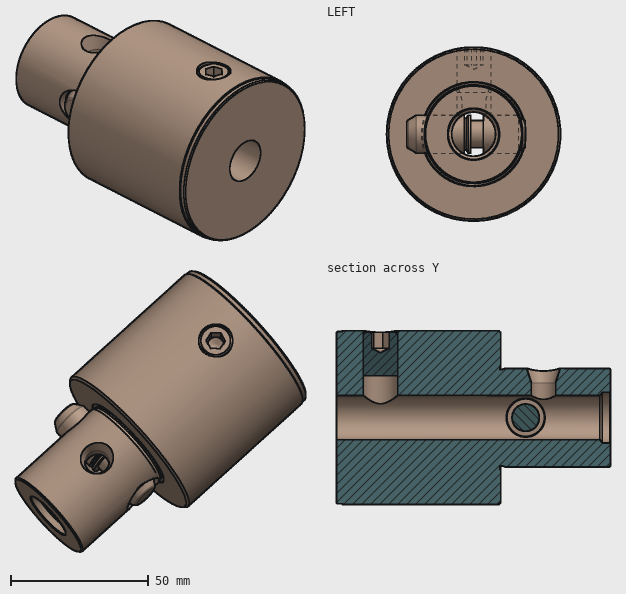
import cadquery as cq
import math

total_length = 100.0
sleeve_radius = 63.5 / 2
sleeve_start = 40.0
sleeve_front_chamfer = 0.8
end_step_length = 2.1
end_step_height = 0.3
end_chamfer = 0.5
shank_radius = 18.0
shank_chamfer = 0.5

undercut_length = 1.6
undercut_depth = 0.4
undercut_face_depth = 0.3
undercut_face_radius = 19.1

bore_radius = 8.0
mouth_radius = 9.2
mouth_chamfer = 0.3
mouth_depth = 3.0
mouth_taper_length = 1.0

access_x = 24.5
access_outer_radius = 6.1
access_inner_radius = 4.4
access_taper_depth = 5.2

pin_x = 31.0
pin_radius = 6.9
pin_front_y = -18.9
pin_back_y = 24.3
pin_end_radius = 4.9
pin_taper_length = 3.3
pin_end_fillet = 0.9
pin_shoulder_fillet = 0.4
neck_radius = 5.0
neck_front_y = -3.6
collar_front_y = 1.0
collar_back_y = 2.0
groove_radius = 5.8
groove_front_y = 2.7
groove_back_y = 3.4

pin_hole_radius = 7.0
countersink_radius = 8.2
countersink_depth = 1.8

screw_x = 83.9
screw_radius = 6.2
screw_top_z = 31.2
screw_length = 16.0
screw_chamfer = 0.8
hex_across_flats = 6.0
hex_depth = 6.0
hex_turn = 15.0
hex_tip_depth = 1.5


def make_turned_blank():
    """Solid of revolution for the outside of the housing."""
    step_start = total_length - end_step_length
    step_radius = sleeve_radius - end_step_height
    undercut_radius = shank_radius - undercut_depth
    undercut_end = sleeve_start + undercut_face_depth
    outline = [
        (0, 0),
        (0, shank_radius - shank_chamfer),
        (shank_chamfer, shank_radius),
        (sleeve_start - undercut_length, shank_radius),
        (sleeve_start - undercut_depth, undercut_radius),
        (undercut_end, undercut_radius),
        (undercut_end, undercut_face_radius - undercut_face_depth),
        (sleeve_start, undercut_face_radius),
        (sleeve_start, sleeve_radius - sleeve_front_chamfer),
        (sleeve_start + sleeve_front_chamfer, sleeve_radius),
        (step_start - end_step_height, sleeve_radius),
        (step_start, step_radius),
        (total_length - end_chamfer, step_radius),
        (total_length, step_radius - end_chamfer),
        (total_length, 0),
    ]
    return cq.Workplane("XY").polyline(outline).close().revolve(360, (0, 0, 0), (1, 0, 0))


def make_bore():
    """Through bore with its wider, tapered mouth at the shank end."""
    outline = [
        (0, 0),
        (0, mouth_radius + mouth_chamfer),
        (mouth_chamfer, mouth_radius),
        (mouth_depth, mouth_radius),
        (mouth_depth + mouth_taper_length, bore_radius),
        (total_length, bore_radius),
        (total_length, 0),
    ]
    return cq.Workplane("XY").polyline(outline).close().revolve(360, (0, 0, 0), (1, 0, 0))


def make_access_hole():
    """Straight hole into the bore, opening as a cone towards the top of the shank."""
    taper = cq.Solid.makeCone(
        access_inner_radius,
        access_outer_radius,
        access_taper_depth,
        cq.Vector(access_x, 0, shank_radius - access_taper_depth),
        cq.Vector(0, 0, 1),
    )
    straight = cq.Workplane("XY").center(access_x, 0).circle(access_inner_radius).extrude(shank_radius)
    return straight.union(cq.Workplane(taper))


def make_pin_hole():
    """Hole across the shank, countersunk where the short pin end comes out."""
    hole = cq.Workplane("XZ").center(pin_x, 0).circle(pin_hole_radius).extrude(shank_radius, both=True)
    countersink = cq.Solid.makeCone(
        countersink_radius,
        pin_hole_radius,
        countersink_depth,
        cq.Vector(pin_x, -shank_radius, 0),
        cq.Vector(0, 1, 0),
    )
    return hole.union(cq.Workplane(countersink))


def make_screw_hole():
    """Radial hole from the outside of the sleeve into the bore."""
    return cq.Workplane("XY").center(screw_x, 0).circle(screw_radius).extrude(sleeve_radius)


def make_housing():
    housing = make_turned_blank().cut(make_bore())
    for hole in (make_access_hole(), make_pin_hole(), make_screw_hole()):
        housing = housing.cut(hole)
    return housing


def is_shoulder(rim):
    """True for the two rims where an end taper of the pin meets its full radius."""
    shoulder_y = (pin_front_y + pin_taper_length, pin_back_y - pin_taper_length)
    return any(math.isclose(rim.Center().y, y, abs_tol=0.01) for y in shoulder_y)


def make_pin():
    """Turned pin with tapered ends, a thin neck and a groove beside its collar."""
    outline = [
        (0, pin_front_y),
        (pin_end_radius, pin_front_y),
        (pin_radius, pin_front_y + pin_taper_length),
        (pin_radius, neck_front_y),
        (neck_radius, neck_front_y),
        (neck_radius, collar_front_y),
        (pin_radius, collar_front_y),
        (pin_radius, collar_back_y),
        (groove_radius, groove_front_y),
        (groove_radius, groove_back_y),
        (pin_radius, groove_back_y),
        (pin_radius, pin_back_y - pin_taper_length),
        (pin_end_radius, pin_back_y),
        (0, pin_back_y),
    ]
    pin = cq.Workplane("XY").polyline(outline).close().revolve(360, (0, 0, 0), (0, 1, 0))
    pin = pin.faces("<Y or >Y").edges().fillet(pin_end_fillet)
    shoulders = pin.edges("%CIRCLE").filter(is_shoulder)
    return shoulders.fillet(pin_shoulder_fillet).translate((pin_x, 0, 0))


def make_screw():
    """Set screw with a chamfered top and a hexagon socket ending in a drilled point."""
    screw = cq.Workplane("XY").circle(screw_radius).extrude(-screw_length).faces(">Z").chamfer(screw_chamfer)
    hex_corner_diameter = hex_across_flats / math.cos(math.pi / 6)
    socket = cq.Workplane("XY").polygon(6, hex_corner_diameter).extrude(-hex_depth)
    socket = socket.rotate((0, 0, 0), (0, 0, 1), hex_turn)
    socket_floor = cq.Vector(0, 0, -hex_depth)
    point = cq.Solid.makeCone(hex_across_flats / 2, 0, hex_tip_depth, socket_floor, cq.Vector(0, 0, -1))
    screw = screw.cut(socket).cut(cq.Workplane(point))
    return screw.translate((screw_x, 0, screw_top_z))


housing = make_housing()
pin = make_pin()
screw = make_screw()

result = cq.Compound.makeCompound([housing.val(), pin.val(), screw.val()])